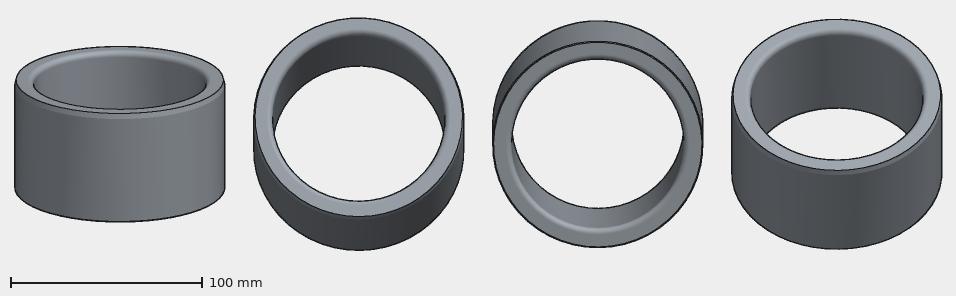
import cadquery as cq
import math

outer_diameter = 110.0
bore_diameter = 90.0
height = 60.0

lead_in_height = 3.0
lead_in_angle = 15.0
bore_round = 3.0
bottom_chamfer = 0.5

outer_radius = outer_diameter / 2
bore_radius = bore_diameter / 2
lead_in_width = lead_in_height * math.tan(math.radians(lead_in_angle))

arc_inset = bore_round * (1 - math.sqrt(0.5))

wall_section = (
    cq.Workplane("XZ")
    .moveTo(bore_radius + bore_round, 0)
    .lineTo(outer_radius - bottom_chamfer, 0)
    .lineTo(outer_radius, bottom_chamfer)
    .lineTo(outer_radius, height - lead_in_height)
    .lineTo(outer_radius - lead_in_width, height)
    .lineTo(bore_radius + bore_round, height)
    .threePointArc(
        (bore_radius + arc_inset, height - arc_inset),
        (bore_radius, height - bore_round),
    )
    .lineTo(bore_radius, bore_round)
    .threePointArc(
        (bore_radius + arc_inset, arc_inset),
        (bore_radius + bore_round, 0),
    )
    .close()
)

result = wall_section.revolve(360, (0, 0, 0), (0, 1, 0))